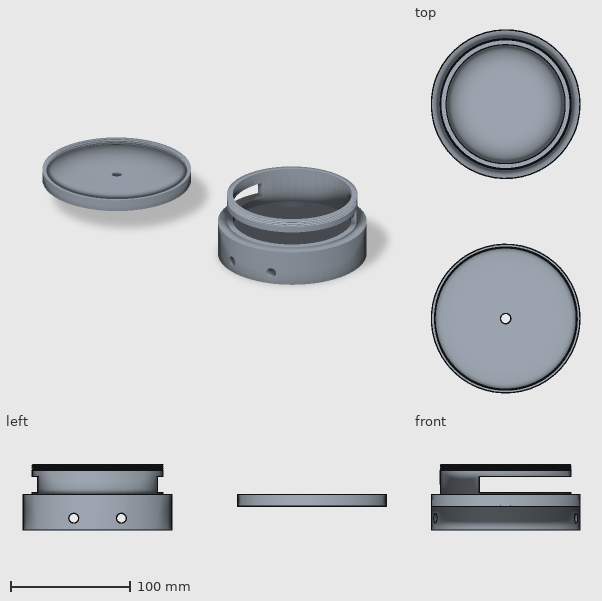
import cadquery as cq
import math

outer_diameter = 125.0
outer_radius = outer_diameter / 2
body_spacing = 180.0

base_height = 30.0
housing_height = 55.0
neck_diameter = 110.0
bore_diameter = 100.0
bore_floor_z = 25.0

window_start_x = -22.0
window_bottom_z = 31.5
window_top_z = 45.0

cross_hole_diameter = 8.0
cross_hole_offset_y = 20.0
cross_hole_z = 10.0

lid_height = 10.0
lid_recess_depth = 5.0
lid_hole_diameter = 8.5
lid_bottom_z = base_height - lid_height

thread_pitch = 1.5
thread_flank_angle = math.radians(30)
thread_crest_width = thread_pitch / 8
thread_overshoot = 0.1
thread_run_out = 0.9 * thread_pitch
neck_thread_major_diameter = 109.85
neck_thread_minor_diameter = 108.12
neck_thread_length = 5.0
lid_thread_major_diameter = 120.23
lid_thread_minor_diameter = 118.53


def cylinder(diameter, bottom_z, top_z):
    """Upright cylinder on the Z axis."""
    return cq.Workplane("XY").workplane(offset=bottom_z).circle(diameter / 2).extrude(top_z - bottom_z)


def thread_groove(crest_diameter, root_diameter, thread_bottom_z, thread_top_z):
    """Helical groove that runs past both ends of a threaded ring.

    Its section reaches from the root to just past the crest, with the flanks running straight on.
    """
    bottom_z = thread_bottom_z - thread_run_out
    length = thread_top_z + thread_run_out - bottom_z
    crest_radius = crest_diameter / 2
    root_radius = root_diameter / 2
    depth = abs(crest_radius - root_radius)
    overshoot = math.copysign(thread_overshoot, crest_radius - root_radius)
    half_crest_gap = (thread_pitch - thread_crest_width) / 2
    half_floor = half_crest_gap - depth * math.tan(thread_flank_angle)
    half_mouth = half_crest_gap + thread_overshoot * math.tan(thread_flank_angle)
    mouth_radius = crest_radius + overshoot
    corners = [
        (mouth_radius, bottom_z - half_mouth),
        (root_radius, bottom_z - half_floor),
        (root_radius, bottom_z + half_floor),
        (mouth_radius, bottom_z + half_mouth),
    ]
    end_angle = math.tau * length / thread_pitch
    helices = [
        cq.Wire.makeHelix(thread_pitch, length, radius, center=cq.Vector(0, 0, z)) for radius, z in corners
    ]
    start_outline = [cq.Vector(radius, 0, z) for radius, z in corners]
    end_outline = [
        cq.Vector(radius * math.cos(end_angle), radius * math.sin(end_angle), z + length)
        for radius, z in corners
    ]
    faces = []
    for outline in (start_outline, end_outline):
        faces.append(cq.Face.makeFromWires(cq.Wire.makePolygon(outline, close=True)))
    for index, helix in enumerate(helices):
        faces.extend(cq.Face.makeRuledSurface(helices[index - 1], helix).Faces())
    groove = cq.Solid.makeSolid(cq.Shell.makeShell(faces)).fix()
    return cq.Workplane(obj=groove)


def make_housing():
    base = cylinder(outer_diameter, 0, base_height)
    thread_bottom_z = housing_height - neck_thread_length
    neck = cylinder(neck_diameter, base_height, thread_bottom_z)
    threaded_end = cylinder(neck_thread_major_diameter, thread_bottom_z, housing_height)
    bore = cylinder(bore_diameter, bore_floor_z, housing_height)
    groove = thread_groove(
        neck_thread_major_diameter,
        neck_thread_minor_diameter,
        thread_bottom_z,
        housing_height,
    )
    window = cq.Workplane("XY").box(
        outer_diameter, outer_diameter, window_top_z - window_bottom_z, centered=(False, True, False)
    ).translate((window_start_x, 0, window_bottom_z))
    cross_holes = (
        cq.Workplane("YZ", origin=(-outer_radius, 0, 0))
        .pushPoints([(side * cross_hole_offset_y, cross_hole_z) for side in (-1, 1)])
        .circle(cross_hole_diameter / 2)
        .extrude(outer_diameter)
    )
    threaded_end = threaded_end.cut(bore).cut(groove)
    plain_body = base.union(neck).cut(bore).cut(cross_holes)
    return plain_body.union(threaded_end).cut(window)


def make_lid():
    floor_z = lid_height - lid_recess_depth
    floor_disc = cylinder(outer_diameter, 0, floor_z)
    hole = cylinder(lid_hole_diameter, 0, floor_z)
    recess = cylinder(lid_thread_minor_diameter, floor_z, lid_height)
    groove = thread_groove(lid_thread_minor_diameter, lid_thread_major_diameter, floor_z, lid_height)
    threaded_rim = cylinder(outer_diameter, floor_z, lid_height).cut(recess).cut(groove)
    lid = floor_disc.cut(hole).union(threaded_rim)
    return lid.translate((0, -body_spacing, lid_bottom_z))


housing = make_housing()
lid = make_lid()
result = cq.Compound.makeCompound([housing.val(), lid.val()])